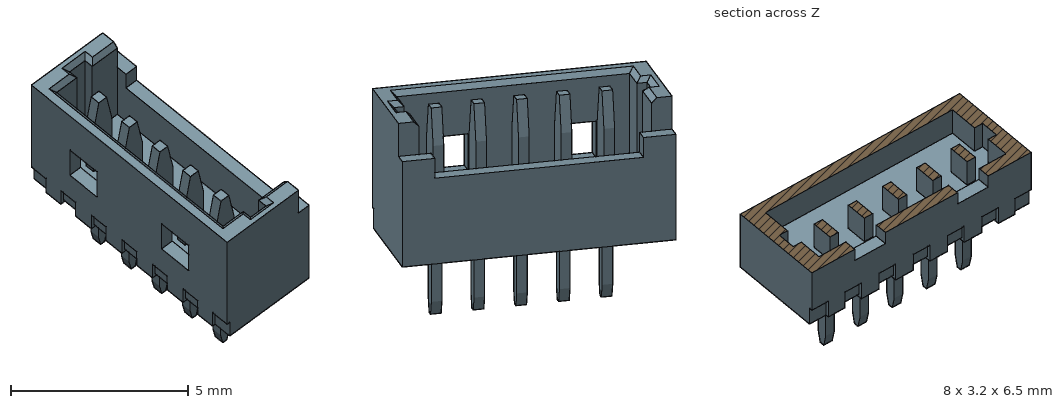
import cadquery as cq

LENGTH = 8.0
DEPTH = 3.2
HEIGHT = 4.2
FRONT_WALL = 0.42
BACK_WALL = 0.42
SIDE_WALL = 0.6
FLOOR = 1.14
LEAD_IN = 0.15

POST_DROP = 1.0
POST_LENGTH = 0.95
MIDDLE_DROP = 1.6

KEY_DEPTH = 0.3
KEY_WIDTH = 0.6
KEY_Y = 1.5

PIN_COUNT = 5
PITCH = 1.25
PIN_X = [(i - (PIN_COUNT - 1) / 2) * PITCH for i in range(PIN_COUNT)]
PIN_Y = 1.2
PIN_WIDTH = 0.31
TAIL_DEPTH = 0.34
TAIL_LENGTH = 2.3
TAIL_TIP_DEPTH = 0.16
TAIL_TAPER = 0.4
BLADE_DEPTH = 0.72
BLADE_TIP_DEPTH = 0.3
BLADE_TAPER = 1.08
BLADE_TOP = 3.98

WINDOW_SIZE = 1.1
WINDOW_BOTTOM = 1.6
WINDOW_X = 1.5 * PITCH

NOTCH_SIZE = 0.6
NOTCH_DEPTH = 0.1
GROOVE_DEPTH = 0.1


def block(x_min, x_max, y_min, y_max, z_min, z_max):
    size = (x_max - x_min, y_max - y_min, z_max - z_min)
    return cq.Workplane("XY").box(*size, centered=False).translate((x_min, y_min, z_min))


def mouth_outline(z, grow):
    """Closed outline of the cavity with its key slots, offset outwards by grow."""
    side = LENGTH / 2 - SIDE_WALL + grow
    key = side + KEY_DEPTH
    front = FRONT_WALL - grow
    back = DEPTH - BACK_WALL
    key_front = KEY_Y - KEY_WIDTH / 2 - grow
    key_back = KEY_Y + KEY_WIDTH / 2 + grow
    right = [
        (side, front),
        (side, key_front),
        (key, key_front),
        (key, key_back),
        (side, key_back),
        (side, back),
    ]
    left = [(-x, y) for x, y in reversed(right)]
    return cq.Workplane("XY").workplane(offset=z).polyline(right + left).close()


def make_cavity():
    """Straight-sided cavity whose mouth flares out over the lead-in."""
    straight = mouth_outline(FLOOR, 0).extrude(HEIGHT - FLOOR)
    lower_wire = mouth_outline(HEIGHT - LEAD_IN, 0).val()
    upper_wire = mouth_outline(HEIGHT, LEAD_IN).val()
    lead_in = cq.Solid.makeLoft([lower_wire, upper_wire], True)
    return straight.union(cq.Workplane(lead_in))


def make_housing():
    half = LENGTH / 2
    back_inner = DEPTH - BACK_WALL
    middle = half - POST_LENGTH
    housing = block(-half, half, 0, DEPTH, 0, HEIGHT).cut(make_cavity())
    housing = housing.cut(block(-half, half, back_inner, DEPTH, HEIGHT - POST_DROP, HEIGHT))
    return housing.cut(block(-middle, middle, back_inner, DEPTH, HEIGHT - MIDDLE_DROP, HEIGHT))


def make_windows():
    windows = cq.Workplane("XY")
    for x in (-WINDOW_X, WINDOW_X):
        windows = windows.add(
            block(x - WINDOW_SIZE / 2, x + WINDOW_SIZE / 2, 0, FRONT_WALL,
                  WINDOW_BOTTOM, WINDOW_BOTTOM + WINDOW_SIZE)
        )
    return windows.combine()


def make_base_cuts():
    end = LENGTH / 2 - NOTCH_SIZE / 2
    half = NOTCH_SIZE / 2
    cuts = cq.Workplane("XY")
    for x in [-end, *PIN_X, end]:
        cuts = cuts.add(block(x - half, x + half, 0, NOTCH_DEPTH, 0, NOTCH_SIZE))
    for x in PIN_X:
        cuts = cuts.add(block(x - half, x + half, NOTCH_DEPTH, FRONT_WALL, 0, GROOVE_DEPTH))
    return cuts.combine()


def make_pin(x):
    """Flat pin: a tapered blade in the cavity and a pointed tail below the base."""
    back_edge = [
        (BLADE_TIP_DEPTH / 2, BLADE_TOP),
        (BLADE_DEPTH / 2, BLADE_TOP - BLADE_TAPER),
        (BLADE_DEPTH / 2, FLOOR),
        (TAIL_DEPTH / 2, FLOOR),
        (TAIL_DEPTH / 2, TAIL_TAPER - TAIL_LENGTH),
        (TAIL_TIP_DEPTH / 2, -TAIL_LENGTH),
    ]
    front_edge = [(-y, z) for y, z in reversed(back_edge)]
    profile = cq.Workplane("YZ").polyline(back_edge + front_edge).close()
    return profile.extrude(PIN_WIDTH / 2, both=True).translate((x, PIN_Y, 0))


result = make_housing().cut(make_windows()).cut(make_base_cuts())
for pin_x in PIN_X:
    result = result.union(make_pin(pin_x))